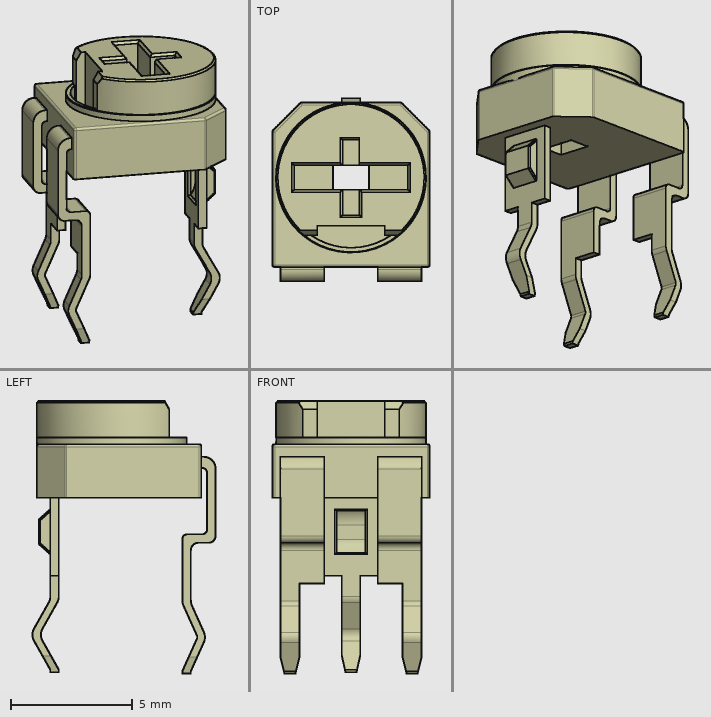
import cadquery as cq
import math


body_width = 6.5
body_front = -3.7
body_back = 3.1
body_height = 2.22
body_corner_cut = 1.18
body_edge_radius = 0.1

collar_radius = 3.1
collar_edge_chamfer = 0.025
collar_inner_radius = 2.9
collar_top = 2.5
gap_floor = collar_top - 1.0

rotor_radius = collar_radius
rotor_top = 4.0
rotor_rim_chamfer = 0.08
flat_y = -2.38
flat_chamfer_depth = 0.2
flat_chamfer_height = 0.35
notch_width = 2.78
notch_y = -2.0

long_slot_floor = rotor_top - 1.5
short_slot_floor = rotor_top - 1.0
slot_chamfer = 0.1
slot_chamfer_height = 0.12
long_slot_length = 4.7
long_slot_width = 1.0
short_slot_length = 3.1
short_slot_width = 0.7
hole_length = 1.48

sheet = 0.36
pin_width = 0.8
tip_width = 0.46
tip_taper_length = 0.69
tip_straight = 0.1
leg_bend_radius = 0.5

front_lead_outer_x = 2.92
front_lead_inner_x = 1.1
front_lead_face = -4.29
front_lead_top = 1.7
front_stub_thickness = 0.47
front_top_radius = 0.5
front_shelf_top = -1.5
front_pin_back = -2.91
front_shoulder = -3.54
front_kink_start = -4.35
front_kink = 0.63
front_kink_back_radius = 0.14
front_tip = -7.25
bend_radius = 0.3
tight_bend_radius = 0.2

back_lead_width = 2.2
back_pin_width = 0.77
back_lead_face = 2.18
back_shoulder = -3.22
back_kink_start = -4.2
back_kink = 0.815
back_tip = -7.2

dimple_middle = -1.4
dimple_width = 1.36
dimple_height = 1.86
bump_height = 1.0
bump_depth = 0.48
bump_edge_chamfer = 0.06
recess_width = 1.16
recess_height = 1.74
recess_rim_depth = 0.1
recess_arc_depth = 0.2
recess_flat_height = 0.6


def block(x_range, y_range, z_range):
    """Box between the given limits."""
    (x0, x1), (y0, y1), (z0, z1) = x_range, y_range, z_range
    return cq.Workplane("XY").box(x1 - x0, y1 - y0, z1 - z0, centered=False).translate((x0, y0, z0))


def centered_block(length, width, z_range):
    """Box centred on the rotor axis."""
    return block((-length / 2, length / 2), (-width / 2, width / 2), z_range)


def cylinder(radius, z0, z1):
    return cq.Workplane("XY").workplane(offset=z0).circle(radius).extrude(z1 - z0)


def rounded_outline(corners, half_width):
    """Prism along X over a YZ outline of (y, z, corner radius) corners."""
    runs = []
    for i, (y, z, radius) in enumerate(corners):
        corner = cq.Vector(y, z)
        to_previous = (cq.Vector(*corners[i - 1][:2]) - corner).normalized()
        to_next = (cq.Vector(*corners[(i + 1) % len(corners)][:2]) - corner).normalized()
        half_angle = to_previous.getAngle(to_next) / 2
        if radius == 0:
            runs.append([corner])
            continue
        setback = radius / math.tan(half_angle)
        sagitta = radius / math.sin(half_angle) - radius
        middle = corner + (to_previous + to_next).normalized() * sagitta
        runs.append([corner + to_previous * setback, middle, corner + to_next * setback])
    outline = cq.Workplane("YZ").moveTo(*runs[0][0].toTuple()[:2])
    for i, run in enumerate(runs):
        if i > 0:
            outline = outline.lineTo(*run[0].toTuple()[:2])
        if len(run) > 1:
            outline = outline.threePointArc(run[1].toTuple()[:2], run[2].toTuple()[:2])
    return outline.close().extrude(half_width, both=True)


def kinked_leg(low_y, start, kink, back_radius, tip):
    """Corners of both sides of a leg kinked in Y; the first side runs down, the other back up."""
    high_y = low_y + sheet
    bend_end = tip + tip_straight
    kink_z = (start + bend_end) / 2
    down = [
        (low_y, start, leg_bend_radius),
        (low_y + kink, kink_z, leg_bend_radius),
        (low_y, bend_end, 0),
        (low_y, tip, 0),
    ]
    up = [
        (high_y, tip, 0),
        (high_y, bend_end, 0),
        (high_y + kink, kink_z, back_radius),
        (high_y, start, leg_bend_radius),
    ]
    return down + up


def lead_blank(plate_x, pin_x, top, shoulder, tip):
    """Front silhouette of a lead, a plate narrowing to a pin with a tapered tip, as a prism along Y."""
    taper_z = tip + tip_taper_length
    pin_middle = (pin_x[0] + pin_x[1]) / 2
    outline = [
        (plate_x[0], top),
        (plate_x[0], shoulder),
        (pin_x[0], shoulder),
        (pin_x[0], taper_z),
        (pin_middle - tip_width / 2, tip),
        (pin_middle + tip_width / 2, tip),
        (pin_x[1], taper_z),
        (pin_x[1], shoulder),
        (plate_x[1], shoulder),
        (plate_x[1], top),
    ]
    corners = [p for i, p in enumerate(outline) if p != outline[i - 1]]
    return cq.Workplane("XZ").polyline(corners).close().extrude(body_width, both=True)


def make_body():
    half = body_width / 2
    body = block((-half, half), (body_front, body_back), (0, body_height))
    body = body.edges("|Z and >Y").chamfer(body_corner_cut)
    body = body.edges("|Z or >Z").fillet(body_edge_radius)
    collar = cylinder(collar_radius, gap_floor, collar_top).faces(">Z").chamfer(collar_edge_chamfer)
    return body.union(collar)


def cut_rotor_gap(part):
    """Open the space in front of the rotor, inside the collar."""
    well = cylinder(collar_inner_radius, gap_floor, collar_top)
    half_notch = notch_width / 2
    front_of_flat = block((-body_width, body_width), (-body_width, flat_y), (gap_floor, rotor_top))
    notch = block((-half_notch, half_notch), (-body_width, notch_y), (gap_floor, rotor_top))
    return part.cut(well.intersect(front_of_flat.union(notch)))


def make_rotor():
    rotor = cylinder(rotor_radius, collar_top, rotor_top).faces(">Z").chamfer(rotor_rim_chamfer)
    front_of_flat = (
        cq.Workplane("YZ")
        .polyline(
            [
                (-body_width, collar_top),
                (flat_y, collar_top),
                (flat_y, rotor_top - flat_chamfer_height),
                (flat_y + flat_chamfer_depth, rotor_top),
                (-body_width, rotor_top),
            ]
        )
        .close()
        .extrude(body_width, both=True)
    )
    half_notch = notch_width / 2
    notch = block((-half_notch, half_notch), (-body_width, notch_y), (collar_top, rotor_top))
    return rotor.cut(front_of_flat).cut(notch)


def chamfered_slot(length, width, floor):
    """Slot with a chamfered mouth, as a cutting body."""
    slot = centered_block(length, width, (floor, rotor_top))
    mouth = (
        cq.Workplane("XY")
        .workplane(offset=rotor_top)
        .rect(length + 2 * slot_chamfer, width + 2 * slot_chamfer)
        .workplane(offset=-slot_chamfer_height)
        .rect(length, width)
        .loft()
    )
    return slot.union(mouth)


def cut_cross(part):
    long_slot = chamfered_slot(long_slot_length, long_slot_width, long_slot_floor)
    short_slot = chamfered_slot(short_slot_width, short_slot_length, short_slot_floor)
    sharp_edge = block(
        (short_slot_width / 2, short_slot_width),
        (long_slot_width / 2, short_slot_length),
        (short_slot_floor, rotor_top),
    )
    short_slot = short_slot.cut(sharp_edge)
    hole = centered_block(hole_length, long_slot_width, (0, rotor_top))
    return part.cut(short_slot).cut(long_slot).cut(hole)


def make_front_lead():
    """Front lead on the -X side."""
    stub_y = body_front + sheet
    pin_face = front_pin_back - sheet
    leg = kinked_leg(pin_face, front_kink_start, -front_kink, front_kink_back_radius, front_tip)
    shelf_bottom = front_shelf_top - sheet
    outline = [
        (stub_y, front_lead_top, 0),
        (front_lead_face, front_lead_top, front_top_radius),
        (front_lead_face, shelf_bottom, bend_radius),
        (pin_face, shelf_bottom, bend_radius),
        *leg,
        (front_pin_back, front_shelf_top, tight_bend_radius),
        (front_lead_face + sheet, front_shelf_top, tight_bend_radius),
        (front_lead_face + sheet, front_lead_top - front_stub_thickness, tight_bend_radius),
        (stub_y, front_lead_top - front_stub_thickness, 0),
    ]
    plate_x = (-front_lead_outer_x, -front_lead_inner_x)
    pin_x = (-front_lead_outer_x, -front_lead_outer_x + pin_width)
    blank = lead_blank(plate_x, pin_x, front_lead_top, front_shoulder, front_tip)
    return rounded_outline(outline, front_lead_outer_x).intersect(blank)


def dimple_taper(base_y, top_width, top_height, depth):
    """Tapered block from the full dimple size at Y = base_y to a smaller size further along +Y."""
    return (
        cq.Workplane("XZ", origin=(0, base_y, dimple_middle))
        .rect(dimple_width, dimple_height)
        .workplane(offset=-depth)
        .rect(top_width, top_height)
        .loft()
    )


def make_dimple_recess(base_y):
    """Hollow of the dimple: a tapered rim, then a flat floor with a rounded slope above and below."""
    rim = dimple_taper(base_y, recess_width, recess_height, recess_rim_depth)
    slope_y = base_y + recess_rim_depth
    floor_y = slope_y + recess_arc_depth
    top = dimple_middle + recess_height / 2
    bottom = dimple_middle - recess_height / 2
    flat_top = dimple_middle + recess_flat_height / 2
    flat_bottom = dimple_middle - recess_flat_height / 2
    rise = top - flat_top
    radius = (rise**2 + recess_arc_depth**2) / (2 * recess_arc_depth)
    hollow = (
        cq.Workplane("YZ")
        .moveTo(slope_y, bottom)
        .radiusArc((floor_y, flat_bottom), -radius)
        .lineTo(floor_y, flat_top)
        .radiusArc((slope_y, top), -radius)
        .close()
        .extrude(recess_width / 2, both=True)
    )
    return rim.union(hollow)


def make_back_lead():
    top = body_height / 2
    leg = kinked_leg(back_lead_face, back_kink_start, back_kink, leg_bend_radius, back_tip)
    outline = [(back_lead_face, top, 0), *leg, (back_lead_face + sheet, top, 0)]
    plate_x = (-back_lead_width / 2, back_lead_width / 2)
    pin_x = (-back_pin_width / 2, back_pin_width / 2)
    blank = lead_blank(plate_x, pin_x, top, back_shoulder, back_tip)
    lead = rounded_outline(outline, back_lead_width).intersect(blank)
    bump = dimple_taper(back_lead_face + sheet, dimple_width, bump_height, bump_depth)
    bump = bump.faces("<X or >X").edges("not <Y").chamfer(bump_edge_chamfer)
    return lead.union(bump).cut(make_dimple_recess(back_lead_face))


housing = cut_rotor_gap(make_body())
head = cut_cross(housing.union(make_rotor()))
front_lead = make_front_lead()
result = head.union(front_lead).union(front_lead.mirror("YZ")).union(make_back_lead())